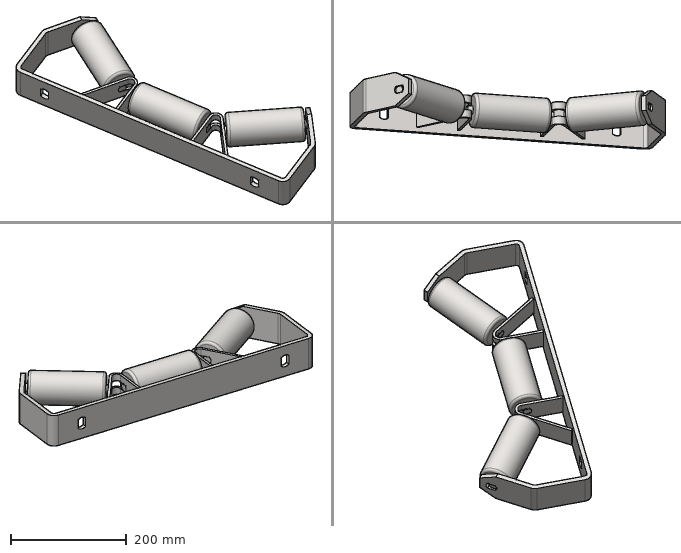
import cadquery as cq
import math

FRAME_LENGTH = 540.0
FRAME_WIDTH = 60.0
FRAME_THICKNESS = 8.0
BASE_BEND_RADIUS = 14.0
ARM_BEND_RADIUS = 17.5
FRAME_TOP = 187.5
TIP_TAPER_LENGTH = 30.0
TIP_TAPER_DEPTH = 17.0
MOUNT_HOLE_SPACING = 416.0
MOUNT_HOLE_DIAMETER = 22.5
MOUNT_HOLE_FLATS = 15.0
ARM_SLOT_TRAVEL = 5.0

TROUGH_ANGLE = 35.0
ROLLER_DIAMETER = 60.0
ROLLER_LENGTH = 135.0
ROLLER_FILLET = 5.0
SHAFT_DIAMETER = 15.0
SHAFT_FLATS = 12.5
END_GAP = 4.5
CENTER_ROLLER_Y = 71.5
CENTER_ROLLER_Z = -2.0
SIDE_ROLLER_Z = -1.5

BRACKET_THICKNESS = 5.0
BRACKET_WIDTH = 40.0
BRACKET_Z = CENTER_ROLLER_Z
BRACKET_BEND_RADIUS = 13.0
SHAFT_DROP = 11.0

tilt = math.radians(TROUGH_ANGLE)
axis_dir = cq.Vector(math.cos(tilt), -math.sin(tilt))
arm_dir = cq.Vector(math.sin(tilt), math.cos(tilt))
support_reach = ROLLER_LENGTH / 2 + END_GAP
shaft_length = 2 * (support_reach + BRACKET_THICKNESS)

bend_center = cq.Vector(-support_reach - BRACKET_BEND_RADIUS, CENTER_ROLLER_Y + SHAFT_DROP)
side_roller_center = bend_center - arm_dir * SHAFT_DROP - axis_dir * (BRACKET_BEND_RADIUS + support_reach)

arm_outer_axis = side_roller_center - axis_dir * (support_reach + FRAME_THICKNESS)
arm_tip = arm_outer_axis + arm_dir * ((FRAME_TOP - arm_outer_axis.y) / arm_dir.y)
arm_root = arm_tip - arm_dir * ((arm_tip.x + FRAME_LENGTH / 2) / arm_dir.x)


def mirrored(body):
    """Right-hand copy of a left-hand body."""
    return body.mirror("YZ")


def arm_plane(point, z):
    """Plane parallel to the left arm: local X runs up the arm, local Y along Z, normal outward."""
    return cq.Plane(origin=(point.x, point.y, z), xDir=arm_dir.toTuple(), normal=(axis_dir * -1).toTuple())


def shaft_slot(plane, travel, depth):
    """Slot with the shaft end's outline, lengthened by `travel` along local X.

    The plane's origin is the shaft axis.
    """
    length = SHAFT_DIAMETER + travel
    round_ended = cq.Workplane(plane).center(travel / 2, 0).slot2D(length, SHAFT_DIAMETER).extrude(depth)
    band = cq.Workplane(plane).center(travel / 2, 0).rect(length, SHAFT_FLATS).extrude(depth)
    return round_ended.intersect(band)


def bent_strip():
    """Base, side walls and slanted arms as one bent strip, without holes."""
    half = FRAME_LENGTH / 2
    inner_drop = FRAME_THICKNESS * math.tan(tilt / 2)
    tip_inner = arm_tip + axis_dir * FRAME_THICKNESS
    left = [
        (-half, 0),
        (-half, arm_root.y),
        (arm_tip.x, arm_tip.y),
        (tip_inner.x, tip_inner.y),
        (FRAME_THICKNESS - half, arm_root.y - inner_drop),
        (FRAME_THICKNESS - half, FRAME_THICKNESS),
    ]
    right = [(-x, y) for x, y in reversed(left)]
    strip = cq.Workplane("XY").polyline(left + right).close().extrude(FRAME_WIDTH / 2, both=True)

    outer_base, outer_arm, inner_arm, inner_base = left[0], left[1], left[4], left[5]
    bends = (
        (outer_base, BASE_BEND_RADIUS),
        (inner_base, BASE_BEND_RADIUS - FRAME_THICKNESS),
        (outer_arm, ARM_BEND_RADIUS),
        (inner_arm, ARM_BEND_RADIUS - FRAME_THICKNESS),
    )
    for (x, y), radius in bends:
        for corner_x in (x, -x):
            nearest = cq.selectors.NearestToPointSelector((corner_x, y, 0))
            strip = strip.edges("|Z").edges(nearest).fillet(radius)
    return strip


def tip_corner_cutter():
    """Two wedges that taper the left arm's tip."""
    half = FRAME_WIDTH / 2
    cutter = cq.Workplane(arm_plane(arm_tip, 0))
    for side in (1, -1):
        cutter = cutter.polyline(
            [(0, side * half), (-TIP_TAPER_LENGTH, side * half), (0, side * (half - TIP_TAPER_DEPTH))]
        ).close()
    return cutter.extrude(-FRAME_THICKNESS)


def arm_slot_cutter():
    """Slot in the left arm that takes the side roller's shaft end."""
    return shaft_slot(arm_plane(arm_outer_axis, SIDE_ROLLER_Z), ARM_SLOT_TRAVEL, -FRAME_THICKNESS)


def mount_hole_cutter():
    """Left mounting hole in the base: a round hole with two flat sides."""
    base_plane = cq.Plane(origin=(-MOUNT_HOLE_SPACING / 2, 0, 0), xDir=(1, 0, 0), normal=(0, 1, 0))
    round_hole = cq.Workplane(base_plane).circle(MOUNT_HOLE_DIAMETER / 2).extrude(FRAME_THICKNESS)
    band = cq.Workplane(base_plane).rect(MOUNT_HOLE_FLATS, MOUNT_HOLE_DIAMETER).extrude(FRAME_THICKNESS)
    return round_hole.intersect(band)


def make_frame():
    frame = bent_strip()
    for cutter in (tip_corner_cutter(), arm_slot_cutter(), mount_hole_cutter()):
        frame = frame.cut(cutter).cut(mirrored(cutter))
    return frame


def bent_bracket():
    """Left bracket without its slot: upright leg, round bend and slanted leg, both ending on the base."""
    outer_r = BRACKET_BEND_RADIUS
    inner_r = outer_r - BRACKET_THICKNESS
    outward = axis_dir * -1
    crown = (outward + cq.Vector(1, 0)).normalized()

    inner_top = bend_center + outward * inner_r
    outer_top = bend_center + outward * outer_r
    leg = arm_dir * ((inner_top.y - FRAME_THICKNESS) / arm_dir.y)
    inner_foot = inner_top - leg
    outer_foot = outer_top - leg
    outer_crown = bend_center + crown * outer_r
    inner_crown = bend_center + crown * inner_r
    upright_outer_x = bend_center.x + outer_r
    upright_inner_x = bend_center.x + inner_r

    return (
        cq.Workplane("XY", origin=(0, 0, BRACKET_Z))
        .moveTo(upright_outer_x, FRAME_THICKNESS)
        .lineTo(upright_outer_x, bend_center.y)
        .threePointArc((outer_crown.x, outer_crown.y), (outer_top.x, outer_top.y))
        .lineTo(outer_foot.x, outer_foot.y)
        .lineTo(inner_foot.x, inner_foot.y)
        .lineTo(inner_top.x, inner_top.y)
        .threePointArc((inner_crown.x, inner_crown.y), (upright_inner_x, bend_center.y))
        .lineTo(upright_inner_x, FRAME_THICKNESS)
        .close()
        .extrude(BRACKET_WIDTH / 2, both=True)
    )


def bracket_slot_cutter():
    """Slot that runs over the bend and down both legs, ending round under each shaft."""
    bend_slot_bottom = CENTER_ROLLER_Z - SHAFT_FLATS / 2
    bend_slot_top = SIDE_ROLLER_Z + SHAFT_FLATS / 2
    bend_part = (
        cq.Workplane("XY", origin=(bend_center.x, bend_center.y, bend_slot_bottom))
        .circle(BRACKET_BEND_RADIUS)
        .extrude(bend_slot_top - bend_slot_bottom)
    )
    slanted_plane = arm_plane(bend_center - arm_dir * SHAFT_DROP, SIDE_ROLLER_Z)
    upright_plane = cq.Plane(
        origin=(bend_center.x, CENTER_ROLLER_Y, CENTER_ROLLER_Z), xDir=(0, 1, 0), normal=(1, 0, 0)
    )
    slanted_part = shaft_slot(slanted_plane, SHAFT_DROP, BRACKET_BEND_RADIUS)
    upright_part = shaft_slot(upright_plane, SHAFT_DROP, BRACKET_BEND_RADIUS)
    return bend_part.union(slanted_part).union(upright_part)


def make_bracket():
    """Left bracket."""
    return bent_bracket().cut(bracket_slot_cutter())


def make_roller():
    """Roller along X, centred on the origin, with flatted shaft ends."""
    drum = (
        cq.Workplane("YZ")
        .circle(ROLLER_DIAMETER / 2)
        .extrude(ROLLER_LENGTH)
        .translate((-ROLLER_LENGTH / 2, 0, 0))
        .edges()
        .fillet(ROLLER_FILLET)
    )
    shaft = cq.Workplane("YZ").circle(SHAFT_DIAMETER / 2).extrude(shaft_length / 2, both=True)
    flats = cq.Workplane("XY").box(shaft_length, SHAFT_DIAMETER, SHAFT_FLATS)
    core = cq.Workplane("XY").box(2 * support_reach, SHAFT_DIAMETER, SHAFT_DIAMETER)
    return drum.union(shaft.intersect(flats.union(core)))


def make_side_roller():
    """Left roller, tilted down towards the middle."""
    place = (side_roller_center.x, side_roller_center.y, SIDE_ROLLER_Z)
    return make_roller().rotate((0, 0, 0), (0, 0, 1), -TROUGH_ANGLE).translate(place)


frame = make_frame()
center_roller = make_roller().translate((0, CENTER_ROLLER_Y, CENTER_ROLLER_Z))

brackets = []
side_rollers = []
for make_body, pair in ((make_bracket, brackets), (make_side_roller, side_rollers)):
    left_body = make_body()
    pair.append(left_body.solids().val())
    pair.append(mirrored(left_body).solids().val())

result = cq.Compound.makeCompound(
    [frame.solids().val(), center_roller.solids().val(), *brackets, *side_rollers]
)